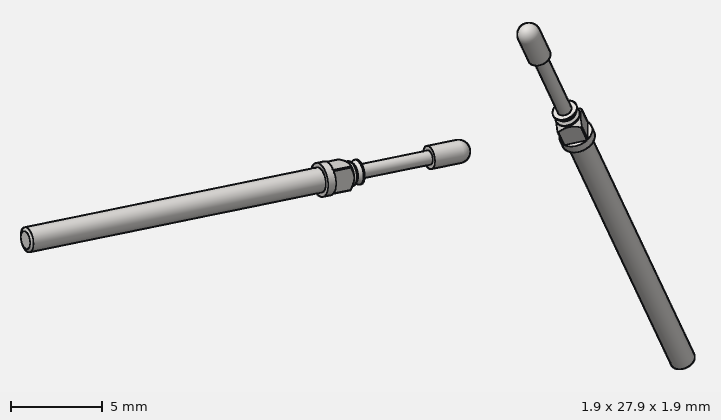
import cadquery as cq


barrel_diameter = 1.4
barrel_length = 18.5
end_chamfer_length = 0.1
end_face_diameter = 1.0

collar_diameter = 1.9
collar_thickness = 0.5
square_width = 1.4
square_corner_diameter = collar_diameter
square_length = 1.32
square_lead_length = 0.24
square_lead_diameter = 1.3

neck_length = 0.63
rim_diameter = 1.4
rim_thickness = 0.08
waist_diameter = 1.1
waist_position = 0.3
ridge_diameter = 1.4
ridge_position = 0.13

shaft_diameter = 0.8
shaft_length = 4.45
head_diameter = 1.3
head_length = 2.5

collar_front = collar_thickness
square_front = collar_front + square_length
neck_front = square_front + neck_length
head_rear = neck_front + shaft_length
head_front = head_rear + head_length
head_radius = head_diameter / 2


def cylinder(diameter, start, length):
    """Cylinder on the Y axis running from start towards +Y."""
    return cq.Workplane("XZ", origin=(0, start, 0)).circle(diameter / 2).extrude(-length)


def revolve_profile(profile):
    """Turn a closed half profile in the XY plane around the Y axis."""
    return profile.close().revolve(360, (0, 0, 0), (0, 1, 0))


def make_barrel():
    profile = (
        cq.Workplane("XY")
        .moveTo(0, -barrel_length)
        .lineTo(end_face_diameter / 2, -barrel_length)
        .lineTo(barrel_diameter / 2, end_chamfer_length - barrel_length)
        .lineTo(barrel_diameter / 2, 0)
        .lineTo(0, 0)
    )
    return revolve_profile(profile)


def make_square():
    """Square section whose corners are turned round and tapered at the front."""
    block = (
        cq.Workplane("XZ", origin=(0, collar_front, 0))
        .rect(square_width, square_width)
        .extrude(-square_length)
    )
    envelope = (
        cq.Workplane("XY")
        .moveTo(0, collar_front)
        .lineTo(square_corner_diameter / 2, collar_front)
        .lineTo(square_corner_diameter / 2, square_front - square_lead_length)
        .lineTo(square_lead_diameter / 2, square_front)
        .lineTo(0, square_front)
    )
    return block.intersect(revolve_profile(envelope))


def make_neck():
    """Turned neck with a sharp ridge, a sharp waist and a flared front rim."""
    profile = (
        cq.Workplane("XY")
        .moveTo(0, square_front)
        .lineTo(square_lead_diameter / 2, square_front)
        .lineTo(ridge_diameter / 2, square_front + ridge_position)
        .lineTo(waist_diameter / 2, square_front + waist_position)
        .lineTo(rim_diameter / 2, neck_front - rim_thickness)
        .lineTo(rim_diameter / 2, neck_front)
        .lineTo(0, neck_front)
    )
    return revolve_profile(profile)


def make_head():
    profile = (
        cq.Workplane("XY")
        .moveTo(0, head_rear)
        .lineTo(head_radius, head_rear)
        .lineTo(head_radius, head_front - head_radius)
        .radiusArc((0, head_front), -head_radius)
    )
    return revolve_profile(profile)


collar = cylinder(collar_diameter, 0, collar_thickness)
shaft = cylinder(shaft_diameter, neck_front, shaft_length)

result = (
    make_barrel()
    .union(collar)
    .union(make_square())
    .union(make_neck())
    .union(shaft)
    .union(make_head())
)